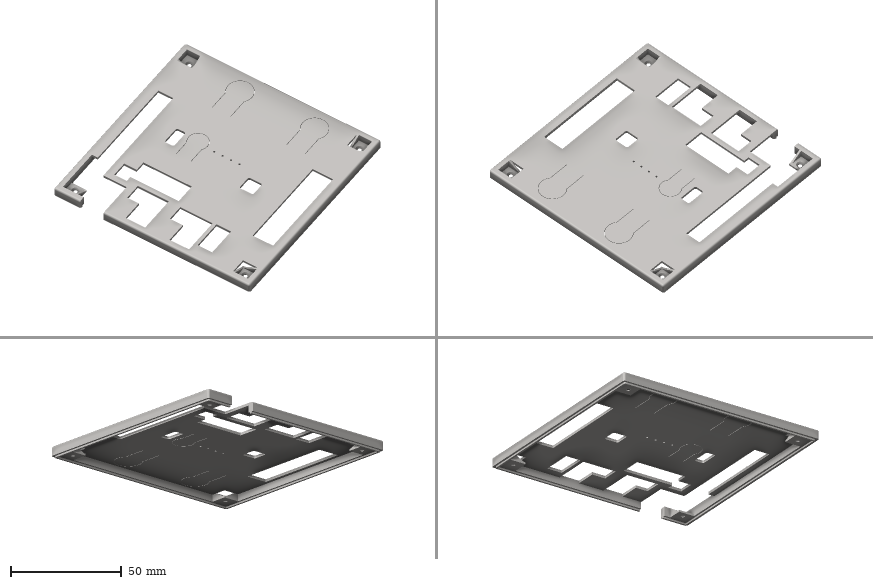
import cadquery as cq
SIDE = 107.0
HEIGHT = 5.5
EDGE_RADIUS = 1.0
PLATE_THICKNESS = 1.3
WALL_THICKNESS = 3.0
PLATE_BOTTOM = HEIGHT - PLATE_THICKNESS
WALL_INNER = SIDE / 2 - WALL_THICKNESS

LIP_HEIGHT = 0.8
LIP_INSET = 1.1
LIP_THICKNESS = 1.0

POCKET_SIDE = 8.1
POCKET_INNER = WALL_INNER - POCKET_SIDE
POCKET_CENTER = WALL_INNER - POCKET_SIDE / 2
PAD_TOP = 1.7
GUSSET_THICKNESS = 1.0
SCREW_DIAMETER = 1.9
SCREW_HEAD_DIAMETER = 3.6
SINK_DEPTH = (SCREW_HEAD_DIAMETER - SCREW_DIAMETER) / 2

BAY_RIGHT = -39.2
BAY_TOP = -27.0
SLOT_LEFT = -47.3
SLOT_TOP = 22.4
GAP_RIGHT = -26.4
GAP_TOP = -34.6

CONNECTOR_WINDOWS = [
    (37.6, 48.7, -27.4, 21.5),
    (20.1, 28.0, -46.1, -30.8),
    (-28.5, -2.0, -28.6, -17.9),
    (-35.3, -28.5, -31.5, -23.3),
]

ROUNDED_WINDOWS = [
    (-27.6, -22.6, -2.0, 7.9),
    (16.3, 23.8, -6.5, 1.2),
]
WINDOW_RADIUS = 1.0

L_WINDOWS = [
    (-22.6, -16.3, -5.7),
    (0.6, 7.7, 18.3),
]
L_TOP = -31.2
L_STEP = -39.8

KEYHOLES = [
    (-16.3, 42.6, 6.6, 5.1, 27.3),
    (24.5, 42.6, 6.6, 5.1, 27.3),
    (-15.0, 6.5, 5.2, 4.2, -5.5),
]
SLIT_WIDTH = 0.2

PINHOLE_DIAMETER = 1.0
PINHOLE_COUNT = 4
PINHOLE_PITCH = 4.6
PINHOLE_FIRST_X = -5.5
PINHOLE_Y = 5.5


def box(left, right, front, back, bottom, top):
    """Solid block between the given limits."""
    block = cq.Workplane("XY").box(right - left, back - front, top - bottom, centered=False)
    return block.translate((left, front, bottom))


def centered_block(side, bottom, top):
    """Square block about the Z axis."""
    return box(-side / 2, side / 2, -side / 2, side / 2, bottom, top)


def window(left, right, front, back):
    """Cutter for a rectangular window through the full height."""
    return box(left, right, front, back, 0, HEIGHT)


def tray():
    """Plate and wall with rounded corners and top edge, plus the lip under the wall."""
    shell = centered_block(SIDE, LIP_HEIGHT, HEIGHT)
    shell = shell.edges("|Z").fillet(EDGE_RADIUS)
    shell = shell.faces(">Z").edges().fillet(EDGE_RADIUS)
    shell = shell.cut(centered_block(2 * WALL_INNER, 0, PLATE_BOTTOM))
    lip_side = SIDE - 2 * LIP_INSET
    lip = centered_block(lip_side, 0, LIP_HEIGHT).edges("|Z").fillet(EDGE_RADIUS)
    lip = lip.cut(centered_block(lip_side - 2 * LIP_THICKNESS, 0, LIP_HEIGHT))
    return shell.union(lip)


def front_left_opening():
    """Cutter for the long slot, the bay and the gap in the front wall."""
    bay = window(-WALL_INNER, BAY_RIGHT, -WALL_INNER, BAY_TOP)
    slot = window(SLOT_LEFT, BAY_RIGHT, BAY_TOP, SLOT_TOP)
    gap = window(BAY_RIGHT, GAP_RIGHT, -SIDE / 2, GAP_TOP)
    return bay.union(slot).union(gap)


def l_window(left, step, right):
    """Cutter for an L-shaped window: a wide head with a narrower leg at its right."""
    head = window(left, right, L_STEP, L_TOP)
    return head.union(window(step, right, -WALL_INNER, L_STEP))


def keyhole(x, y, radius, half_width, end_y):
    """Keyhole-shaped column: a round head with a straight shank toward -Y."""
    head = cq.Workplane("XY").center(x, y).circle(radius).extrude(HEIGHT)
    return head.union(window(x - half_width, x + half_width, end_y, y))


def keyhole_slit(x, y, radius, half_width, end_y):
    """Cutter for the narrow slit along a keyhole outline, open at the end of the shank."""
    outer = keyhole(x, y, radius, half_width, end_y)
    return outer.cut(keyhole(x, y, radius - SLIT_WIDTH, half_width - SLIT_WIDTH, end_y))


def gusset(plane, side, reach):
    """Triangular side wall of a pocket, sloping from the tray wall down to the pad."""
    toe = WALL_INNER - reach + GUSSET_THICKNESS
    profile = cq.Workplane(plane).moveTo(WALL_INNER, PAD_TOP)
    profile = profile.lineTo(WALL_INNER, HEIGHT).lineTo(toe, PAD_TOP).close()
    return profile.extrude(side * GUSSET_THICKNESS)


def countersunk_hole():
    """Cutter for the screw hole through a pad, flared at the pad's top."""
    hole = cq.Workplane("XY", origin=(POCKET_CENTER, POCKET_CENTER, PAD_TOP))
    shaft = hole.circle(SCREW_DIAMETER / 2).extrude(-PAD_TOP)
    flare = hole.circle(SCREW_HEAD_DIAMETER / 2).workplane(offset=-SINK_DEPTH)
    return shaft.union(flare.circle(SCREW_DIAMETER / 2).loft())


def screw_post():
    """Pad in the +X +Y corner, with gussets along its two free sides."""
    pad = box(POCKET_INNER, WALL_INNER, POCKET_INNER, WALL_INNER, LIP_HEIGHT, PAD_TOP)
    along_x = gusset("XZ", -1, POCKET_SIDE).translate((0, POCKET_INNER, 0))
    along_y = gusset("YZ", 1, POCKET_SIDE).translate((POCKET_INNER, 0, 0))
    return pad.union(along_x).union(along_y).cut(countersunk_hole())


def open_screw_post():
    """Screw post with a pad shorter along Y and no gusset on its inner Y side."""
    depth = POCKET_SIDE - GUSSET_THICKNESS
    pad = box(POCKET_INNER, WALL_INNER, WALL_INNER - depth, WALL_INNER, LIP_HEIGHT, PAD_TOP)
    along_y = gusset("YZ", 1, depth).translate((POCKET_INNER, 0, 0))
    return pad.union(along_y).cut(countersunk_hole())


def turned(body, quarter_turns):
    """Body turned about the Z axis by quarter turns."""
    return body.rotate((0, 0, 0), (0, 0, 1), 90 * quarter_turns)


part = tray()
part = part.cut(front_left_opening())
for limits in CONNECTOR_WINDOWS:
    part = part.cut(window(*limits))
for limits in ROUNDED_WINDOWS:
    part = part.cut(window(*limits).edges("|Z").fillet(WINDOW_RADIUS))
for limits in L_WINDOWS:
    part = part.cut(l_window(*limits))
for sizes in KEYHOLES:
    part = part.cut(keyhole_slit(*sizes))

for i in range(PINHOLE_COUNT):
    pinhole = cq.Workplane("XY").circle(PINHOLE_DIAMETER / 2).extrude(HEIGHT)
    part = part.cut(pinhole.translate((PINHOLE_FIRST_X + i * PINHOLE_PITCH, PINHOLE_Y, 0)))

pocket = window(POCKET_INNER, WALL_INNER, POCKET_INNER, WALL_INNER)
for quarter_turns in range(4):
    part = part.cut(turned(pocket, quarter_turns))
for quarter_turns in (0, 1, 3):
    part = part.union(turned(screw_post(), quarter_turns))
part = part.union(turned(open_screw_post(), 2))

result = part